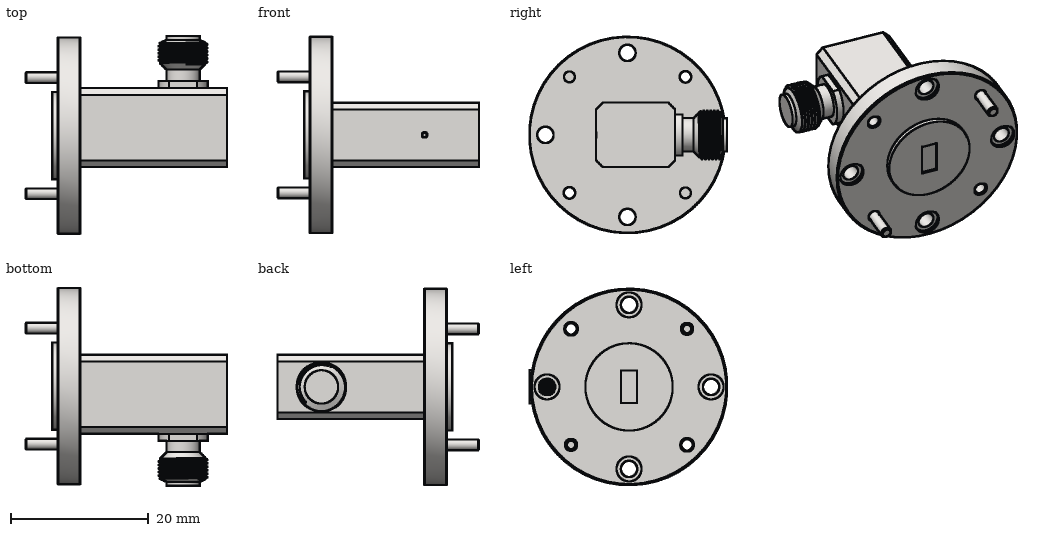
import cadquery as cq
import math

FLANGE_RADIUS = 14.28
FLANGE_THICKNESS = 3.35
FLANGE_FRONT_CHAMFER = 0.18
FLANGE_REAR_CHAMFER = 0.1
BOSS_RADIUS = 6.35
BOSS_HEIGHT = 0.75
WINDOW_WIDTH = 2.35
WINDOW_HEIGHT = 4.75
WINDOW_DEPTH = 0.3

BOLT_CIRCLE_RADIUS = 11.9
SCREW_HOLE_RADIUS = 1.17
COUNTERBORE_RADIUS = 1.81
COUNTERBORE_DEPTH = 0.5
SCREW_ANGLES = (0, 90, 180, 270)
ALIGNMENT_HOLE_RADIUS = 0.82
ALIGNMENT_HOLE_CHAMFER = 0.18
ALIGNMENT_HOLE_ANGLES = (45, 225)
PIN_HOLE_CHAMFER = 0.1
PIN_ANGLES = (135, 315)

PIN_RADIUS = 0.8
PIN_PROTRUSION = 4.62
PIN_CHAMFER = 0.18

OVERALL_LENGTH = 29.27
BLOCK_END = OVERALL_LENGTH - PIN_PROTRUSION
BLOCK_HALF_HEIGHT = 4.68
BLOCK_FRONT_Y = -4.57
BLOCK_REAR_Y = 6.95
BLOCK_CHAMFER = 1.0

DRILL_FROM_END = 7.9
DRILL_RADIUS = 0.32
DRILL_CHAMFER = 0.1
DRILL_DEPTH = 0.15
DRILL_TIP_ANGLE = 118

CONNECTOR_FROM_END = 6.38
WASHER_RADIUS = 3.6
WASHER_ACROSS_FLATS = 5.97
WASHER_THICKNESS = 1.02
BARREL_RADIUS = 2.43
CONNECTOR_HEIGHT = 7.55
CONE_START = 2.65
CONE_END = 6.97
LOWER_CONE_ANGLE = 45
UPPER_CONE_ANGLE = 25
THREAD_RADIUS = 3.55
THREAD_DEPTH = 0.38
THREAD_CORE_RADIUS = THREAD_RADIUS - THREAD_DEPTH
RIDGE_BASE_WIDTH = 0.5
RIDGE_CREST_WIDTH = 0.03
RIDGE_EMBED = 0.015
RIDGE_START = 1.7
RIDGE_LENGTH = 5.65
RIDGE_TURNS = 11
THREAD_PITCH = RIDGE_LENGTH / RIDGE_TURNS
CONE_CLEARANCE = 0.12


def along_x(x):
    """Sketch plane at x that faces +X, with local x along +Y and local y along +Z."""
    return cq.Workplane("YZ", origin=(x, 0, 0))


def circle_points(angles):
    """Points on the bolt circle, with angles measured from +Y towards +Z."""
    return [
        (
            BOLT_CIRCLE_RADIUS * math.cos(math.radians(angle)),
            BOLT_CIRCLE_RADIUS * math.sin(math.radians(angle)),
        )
        for angle in angles
    ]


def flange_holes(angles, radius):
    """Straight holes through the whole flange."""
    return along_x(0).pushPoints(circle_points(angles)).circle(radius).extrude(FLANGE_THICKNESS)


def hole_countersinks(angles, radius, chamfer):
    """Cones that chamfer the front edges of flange holes."""
    return [
        cq.Solid.makeCone(radius + chamfer, radius, chamfer, cq.Vector(0, y, z), cq.Vector(1, 0, 0))
        for y, z in circle_points(angles)
    ]


def make_flange():
    disc = along_x(0).circle(FLANGE_RADIUS).extrude(FLANGE_THICKNESS)
    disc = disc.faces("<X").chamfer(FLANGE_FRONT_CHAMFER)
    disc = disc.faces(">X").chamfer(FLANGE_REAR_CHAMFER)
    boss = along_x(-BOSS_HEIGHT).circle(BOSS_RADIUS).extrude(BOSS_HEIGHT)
    window = along_x(-BOSS_HEIGHT).rect(WINDOW_WIDTH, WINDOW_HEIGHT).extrude(WINDOW_DEPTH)
    flange = disc.union(boss).cut(window)

    counterbores = along_x(0).pushPoints(circle_points(SCREW_ANGLES))
    counterbores = counterbores.circle(COUNTERBORE_RADIUS).extrude(COUNTERBORE_DEPTH)
    flange = flange.cut(flange_holes(SCREW_ANGLES, SCREW_HOLE_RADIUS)).cut(counterbores)

    flange = flange.cut(flange_holes(ALIGNMENT_HOLE_ANGLES, ALIGNMENT_HOLE_RADIUS))
    flange = flange.cut(flange_holes(PIN_ANGLES, PIN_RADIUS))
    countersinks = hole_countersinks(ALIGNMENT_HOLE_ANGLES, ALIGNMENT_HOLE_RADIUS, ALIGNMENT_HOLE_CHAMFER)
    countersinks += hole_countersinks(PIN_ANGLES, PIN_RADIUS, PIN_HOLE_CHAMFER)
    for countersink in countersinks:
        flange = flange.cut(cq.Workplane(countersink))
    return flange


def make_pin(y, z):
    pin = along_x(-PIN_PROTRUSION).center(y, z).circle(PIN_RADIUS)
    pin = pin.extrude(PIN_PROTRUSION + FLANGE_THICKNESS)
    return pin.faces("<X").chamfer(PIN_CHAMFER)


def make_drilled_hole():
    """Chamfered blind hole with a conical bottom, revolved about an axis along Y."""
    tip_depth = DRILL_RADIUS / math.tan(math.radians(DRILL_TIP_ANGLE / 2))
    half_section = [
        (0, 0),
        (DRILL_RADIUS + DRILL_CHAMFER, 0),
        (DRILL_RADIUS, DRILL_CHAMFER),
        (DRILL_RADIUS, DRILL_DEPTH),
        (0, DRILL_DEPTH + tip_depth),
    ]
    hole = cq.Workplane("XY").polyline(half_section).close().revolve(360, (0, 0), (0, 1))
    return hole.translate((BLOCK_END - DRILL_FROM_END, BLOCK_FRONT_Y, 0))


def make_block():
    block = cq.Workplane("XY").box(
        BLOCK_END - FLANGE_THICKNESS,
        BLOCK_REAR_Y - BLOCK_FRONT_Y,
        2 * BLOCK_HALF_HEIGHT,
        centered=(False, False, True),
    )
    block = block.translate((FLANGE_THICKNESS, BLOCK_FRONT_Y, 0))
    return block.edges("|X").chamfer(BLOCK_CHAMFER).cut(make_drilled_hole())


def make_thread_ridge():
    """Helical ridge around the Z axis, with its base sunk into the thread core."""
    base_radius = THREAD_CORE_RADIUS - RIDGE_EMBED
    path = cq.Wire.makeHelix(THREAD_PITCH, RIDGE_LENGTH, base_radius)
    section = cq.Workplane("XZ").polyline(
        [
            (base_radius, -RIDGE_BASE_WIDTH / 2),
            (base_radius, RIDGE_BASE_WIDTH / 2),
            (THREAD_RADIUS, RIDGE_CREST_WIDTH / 2),
            (THREAD_RADIUS, -RIDGE_CREST_WIDTH / 2),
        ]
    )
    ridge = section.close().sweep(cq.Workplane(path), isFrenet=True)
    return ridge.translate((0, 0, RIDGE_START))


def make_barrel():
    """Stepped barrel whose thread runs out on a cone at each end."""
    cone_radius = THREAD_RADIUS + CONE_CLEARANCE
    cone_width = cone_radius - BARREL_RADIUS
    lower_crest = CONE_START + cone_width * math.tan(math.radians(LOWER_CONE_ANGLE))
    upper_crest = CONE_END - cone_width * math.tan(math.radians(UPPER_CONE_ANGLE))
    half_section = [
        (0, 0),
        (BARREL_RADIUS, 0),
        (BARREL_RADIUS, CONE_START),
        (cone_radius, lower_crest),
        (cone_radius, upper_crest),
        (BARREL_RADIUS, CONE_END),
        (BARREL_RADIUS, CONNECTOR_HEIGHT),
        (0, CONNECTOR_HEIGHT),
    ]
    envelope = cq.Workplane("XZ").polyline(half_section).close().revolve(360, (0, 0), (0, 1))
    core = cq.Workplane("XY").circle(THREAD_CORE_RADIUS).extrude(CONNECTOR_HEIGHT)
    return make_thread_ridge().union(core).intersect(envelope)


def make_washer():
    """Round washer with two flats that face up and down on the finished part."""
    washer = cq.Workplane("XY").circle(WASHER_RADIUS).extrude(WASHER_THICKNESS)
    flats = cq.Workplane("XY").rect(2 * WASHER_RADIUS, WASHER_ACROSS_FLATS).extrude(WASHER_THICKNESS)
    return washer.intersect(flats)


def make_connector():
    """Connector built upwards from z = 0, then laid along +Y on the rear side of the block."""
    connector = make_barrel().union(make_washer())
    connector = connector.rotate((0, 0, 0), (1, 0, 0), -90)
    return connector.translate((BLOCK_END - CONNECTOR_FROM_END, BLOCK_REAR_Y, 0))


flange = make_flange()
block = make_block()
connector = make_connector()
pins = [make_pin(y, z) for y, z in circle_points(PIN_ANGLES)]

result = cq.Compound.makeCompound([body.solids().val() for body in [flange, block, connector, *pins]])